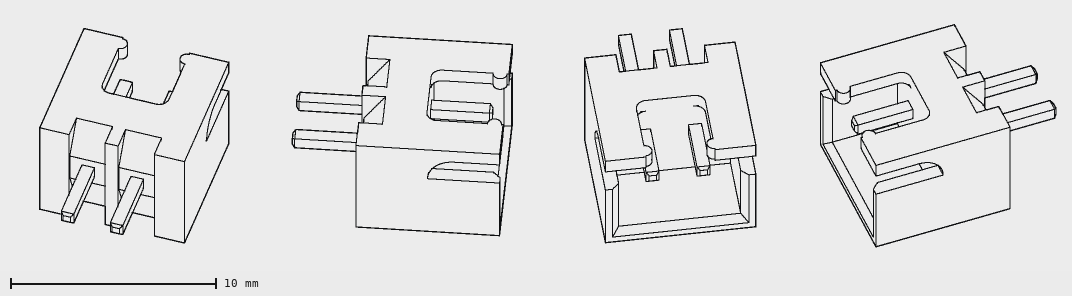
import cadquery as cq
import math

body_width = 7.4
body_depth = 7.0
body_height = 5.75

roof_thickness = 0.75
wall_thickness = 0.7
floor_thickness = 0.7
mouth_chamfer = 0.35
cavity_depth = 3.75
cavity_width = body_width - 2 * wall_thickness
cavity_height = body_height - roof_thickness - floor_thickness

window_width = 3.39
window_corner_radius = 0.5
bump_radius = 0.34
bump_setback = 0.42

slot_depth = 3.51
slot_bottom = 3.72
slot_top = body_height - roof_thickness
slot_radius = slot_top - slot_bottom

pin_pitch = 2.5
pin_size = 0.64
pin_tip_chamfer = 0.13
pin_tail_length = 10.3 - body_depth
pin_end_setback = 0.75
pin_height = 3.4
pin_positions = (-pin_pitch / 2, pin_pitch / 2)

recess_width = 1.84
recess_offset = -0.02
recess_depth = 1.16
land_setback = 0.1
land_bottom = 2.6
land_top = 4.14


def box(width, depth, height, y_start, z_start):
    """Box centred on X, starting at the given Y and Z."""
    return (
        cq.Workplane("XY")
        .box(width, depth, height, centered=(True, False, False))
        .translate((0, y_start, z_start))
    )


def make_cavity():
    """Rectangular cavity with a lead-in flaring the side walls and the floor at the mouth."""
    cavity = box(cavity_width, cavity_depth, cavity_height, body_depth - cavity_depth, floor_thickness)
    flare = (
        cq.Workplane("XZ", origin=(0, body_depth, slot_top))
        .rect(cavity_width + 2 * mouth_chamfer, 2 * (cavity_height + mouth_chamfer))
        .workplane(offset=mouth_chamfer)
        .rect(cavity_width, 2 * cavity_height)
        .loft(ruled=True)
    )
    below_roof = box(body_width, body_depth, slot_top, 0, 0)
    return cavity.union(flare.intersect(below_roof))


def make_window():
    """Roof window with rounded inner corners, less the latch bumps."""
    window = box(window_width, cavity_depth, roof_thickness, body_depth - cavity_depth, slot_top)
    window = window.edges("|Z and <Y").fillet(window_corner_radius)
    bumps = (
        cq.Workplane("XY", origin=(0, body_depth - bump_setback, slot_top))
        .pushPoints([(-window_width / 2, 0), (window_width / 2, 0)])
        .circle(bump_radius)
        .extrude(roof_thickness)
    )
    return window.cut(bumps)


def make_side_slot():
    """Slot through both side walls, closed by a quarter round falling from the roof."""
    slot_end = body_depth - slot_depth
    arc_rise = slot_radius * math.sin(math.radians(45))
    arc_centre_y = slot_end + slot_radius
    return (
        cq.Workplane("YZ", origin=(-body_width / 2, 0, 0))
        .moveTo(slot_end, slot_bottom)
        .lineTo(body_depth, slot_bottom)
        .lineTo(body_depth, slot_top)
        .lineTo(arc_centre_y, slot_top)
        .threePointArc((arc_centre_y - arc_rise, slot_bottom + arc_rise), (slot_end, slot_bottom))
        .close()
        .extrude(body_width)
    )


def make_recess(x):
    """Tail recess centred at x: a flat land with slopes running deeper above and below."""
    return (
        cq.Workplane("YZ", origin=(x - recess_width / 2, 0, 0))
        .polyline(
            [
                (0, 0),
                (recess_depth, 0),
                (land_setback, land_bottom),
                (land_setback, land_top),
                (recess_depth, body_height),
                (0, body_height),
            ]
        )
        .close()
        .extrude(recess_width)
    )


def make_pin(x):
    """Square pin through the housing, chamfered at both tips."""
    pin_length = pin_tail_length + body_depth - pin_end_setback
    pin = box(pin_size, pin_length, pin_size, -pin_tail_length, pin_height - pin_size / 2)
    return pin.faces("<Y or >Y").chamfer(pin_tip_chamfer).translate((x, 0, 0))


result = box(body_width, body_depth, body_height, 0, 0)
result = result.cut(make_cavity()).cut(make_window()).cut(make_side_slot())
for pin_x in pin_positions:
    result = result.cut(make_recess(pin_x + recess_offset))
    result = result.union(make_pin(pin_x))